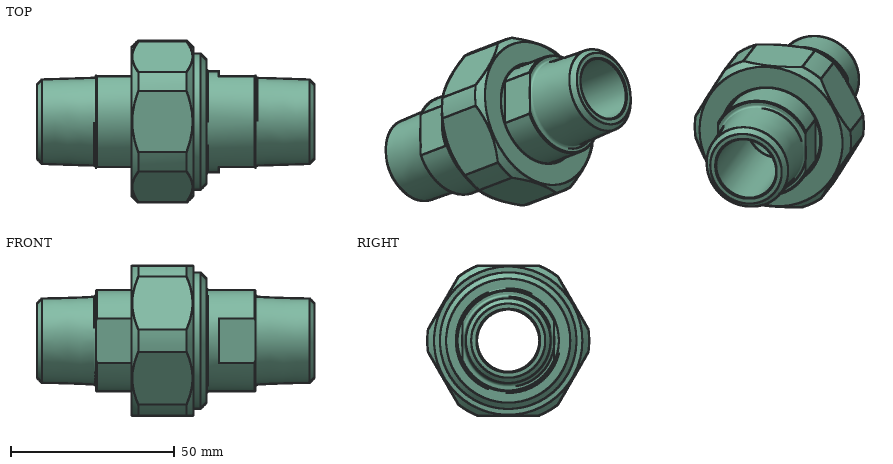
import cadquery as cq
import math

length = 85.0
bore_diameter = 19.0

edge_chamfer = 0.25

pipe_tip_diameter = 22.7
pipe_small_diameter = 25.9
pipe_large_diameter = 26.95
tip_chamfer = (pipe_small_diameter - pipe_tip_diameter) / 2
root_fillet = 0.7
shoulder_x = 18.1
pipe_end_x = shoulder_x - root_fillet

neck_diameter = 31.0
wrench_width = 27.9
wrench_length = 11.2

nut_start_x = 28.9
nut_end_x = 47.9
nut_across_flats = 46.0
nut_corner_diameter = 49.6
nut_chamfer = 2.1
nut_hole_diameter = 31.5
nut_lip = 3.4
nut_socket_diameter = 38.9

flange_diameter = 38.0
flange_thickness = 3.4
flange_start_x = nut_start_x + nut_lip
joint_x = flange_start_x + flange_thickness

collar_diameter = 41.8
collar_face_diameter = 38.0
collar_chamfer = (collar_diameter - collar_face_diameter) / 2
collar_end_x = 51.9
collar_fillet = 0.5


def disc(diameter, start_x, end_x):
    """Cylinder on the X axis between two X positions."""
    return cq.Workplane("YZ", origin=(start_x, 0, 0)).circle(diameter / 2).extrude(end_x - start_x)


def chamfered_hole(diameter, depth):
    """Cutter for a hole that starts at X = 0 with a chamfered mouth and runs toward +X."""
    radius = diameter / 2
    return (
        cq.Workplane("XY")
        .moveTo(0, 0)
        .lineTo(0, radius + edge_chamfer)
        .lineTo(edge_chamfer, radius)
        .lineTo(depth, radius)
        .lineTo(depth, 0)
        .close()
        .revolve(360, (0, 0, 0), (1, 0, 0))
    )


def turn_end_for_end(body):
    """Turn a body built from X = 0 so that it starts at the far end of the part."""
    return body.rotate((0, 0, 0), (0, 0, 1), 180).translate((length, 0, 0))


def pipe_tail(inner_x):
    """Pipe end and neck, with its tip at X = 0 and its neck ending at inner_x."""
    large_radius = pipe_large_diameter / 2
    neck_radius = neck_diameter / 2
    fillet_offset = root_fillet * math.sin(math.radians(45))
    fillet_center_radius = large_radius + root_fillet
    profile = (
        cq.Workplane("XY")
        .moveTo(0, 0)
        .lineTo(0, pipe_tip_diameter / 2)
        .lineTo(tip_chamfer, pipe_small_diameter / 2)
        .lineTo(pipe_end_x, large_radius)
        .threePointArc(
            (pipe_end_x + fillet_offset, fillet_center_radius - fillet_offset),
            (shoulder_x, fillet_center_radius),
        )
        .lineTo(shoulder_x, neck_radius - edge_chamfer)
        .lineTo(shoulder_x + edge_chamfer, neck_radius)
        .lineTo(inner_x, neck_radius)
        .lineTo(inner_x, 0)
        .close()
    )
    tail = profile.revolve(360, (0, 0, 0), (1, 0, 0))

    flat_depth = (neck_diameter - wrench_width) / 2
    for side in (-1, 1):
        flat_cut = cq.Workplane("XY").box(wrench_length, flat_depth, neck_diameter).translate(
            (shoulder_x + wrench_length / 2, side * (wrench_width + flat_depth) / 2, 0)
        )
        tail = tail.cut(flat_cut)
    return tail


def make_left_tail():
    """Tail with the flange that the nut pulls on."""
    flange = disc(flange_diameter, flange_start_x, joint_x)
    bore = chamfered_hole(bore_diameter, joint_x)
    return pipe_tail(joint_x).union(flange).cut(bore)


def make_right_tail():
    """Tail with the collar and the round boss that fills the socket of the nut."""
    tail = turn_end_for_end(pipe_tail(length - collar_end_x))
    collar = disc(collar_diameter, nut_end_x, collar_end_x).faces(">X").edges().chamfer(collar_chamfer)
    boss = disc(nut_socket_diameter, joint_x, nut_end_x)

    neck_radius = neck_diameter / 2
    fillet_offset = collar_fillet * (1 - math.sin(math.radians(45)))
    fillet_ring = (
        cq.Workplane("XY")
        .moveTo(collar_end_x, neck_radius - collar_fillet)
        .lineTo(collar_end_x, neck_radius + collar_fillet)
        .threePointArc(
            (collar_end_x + fillet_offset, neck_radius + fillet_offset),
            (collar_end_x + collar_fillet, neck_radius),
        )
        .lineTo(collar_end_x + collar_fillet, neck_radius - collar_fillet)
        .close()
        .revolve(360, (0, 0, 0), (1, 0, 0))
    )
    bore = turn_end_for_end(chamfered_hole(bore_diameter, length - joint_x))
    return tail.union(collar).union(boss).union(fillet_ring).cut(bore)


def make_nut():
    """Hexagon nut with rounded corners, conical chamfers, a lip and a socket."""
    sharp_corner_diameter = nut_across_flats / math.cos(math.radians(30))
    hexagon = (
        cq.Workplane("YZ", origin=(nut_start_x, 0, 0))
        .polygon(6, sharp_corner_diameter)
        .extrude(nut_end_x - nut_start_x)
    )
    corner_limit = disc(nut_corner_diameter, nut_start_x, nut_end_x).edges().chamfer(nut_chamfer)
    hole = chamfered_hole(nut_hole_diameter, nut_lip).translate((nut_start_x, 0, 0))
    socket = disc(nut_socket_diameter, flange_start_x, nut_end_x)
    return hexagon.intersect(corner_limit).cut(hole).cut(socket)


left_tail = make_left_tail()
right_tail = make_right_tail()
nut = make_nut()

result = cq.Compound.makeCompound([body.solids().val() for body in (left_tail, right_tail, nut)])